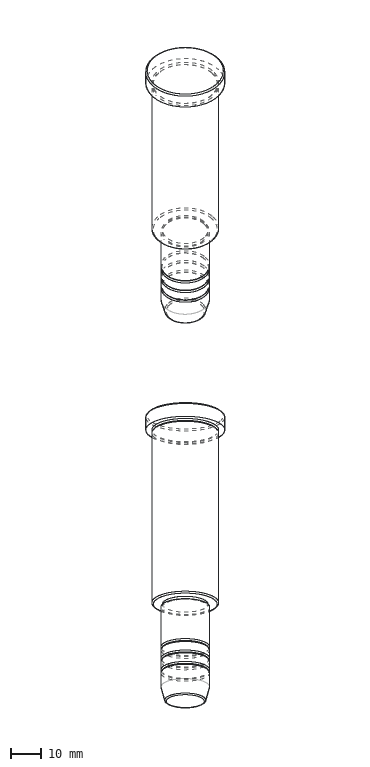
import cadquery as cq
import math

total_length = 100.0
head_height = 5.0
body_end_depth = 66.0
relief_width = 1.0
taper_length = 5.0
taper_angle = 15.0

head_diameter = 26.0
body_diameter = 22.0
shank_diameter = 16.0

edge_chamfer = 0.5
relief_depth = 0.5
tip_chamfer = 0.4
groove_width = 1.0
groove_depth = 0.4
groove_pitch = 4.0
groove_count = 3
first_groove_depth = 81.0


def cylinder(diameter, bottom, top):
    """Solid cylinder on the Z axis between two heights."""
    return cq.Workplane("XY").workplane(offset=bottom).circle(diameter / 2).extrude(top - bottom)


def square_cutter(diameter, depth, width, top):
    """Ring that cuts a square groove of the given depth into a cylinder."""
    outer = cylinder(diameter + 2 * depth, top - width, top)
    core = cylinder(diameter - 2 * depth, top - width, top)
    return outer.cut(core)


def vee_cutter(diameter, depth, width, top):
    """Ring that cuts a V-shaped groove of the given depth into a cylinder."""
    surface = diameter / 2
    outside = surface + depth
    bottom = top - width
    profile = [
        (outside, bottom),
        (surface, bottom),
        (surface - depth, top - width / 2),
        (surface, top),
        (outside, top),
    ]
    return cq.Workplane("XZ").polyline(profile).close().revolve(360, (0, 0), (0, 1))


head_bottom = total_length - head_height
body_bottom = total_length - body_end_depth

head = cylinder(head_diameter, head_bottom, total_length).faces(">Z").edges().chamfer(edge_chamfer)

body = cylinder(body_diameter, body_bottom, head_bottom).faces("<Z").edges().chamfer(edge_chamfer)
body = body.cut(vee_cutter(body_diameter, relief_depth, relief_width, head_bottom))

tip_radius = shank_diameter / 2 - taper_length * math.tan(math.radians(taper_angle))
tip = (
    cq.Workplane("XY")
    .circle(tip_radius)
    .workplane(offset=taper_length)
    .circle(shank_diameter / 2)
    .loft(ruled=True)
    .faces("<Z")
    .edges()
    .chamfer(tip_chamfer)
)
shank = cylinder(shank_diameter, taper_length, body_bottom).union(tip)

shank = shank.cut(square_cutter(shank_diameter, relief_depth, relief_width, body_bottom))
for index in range(groove_count):
    groove_top = total_length - first_groove_depth - index * groove_pitch
    shank = shank.cut(vee_cutter(shank_diameter, groove_depth, groove_width, groove_top))

result = head.union(body).union(shank)